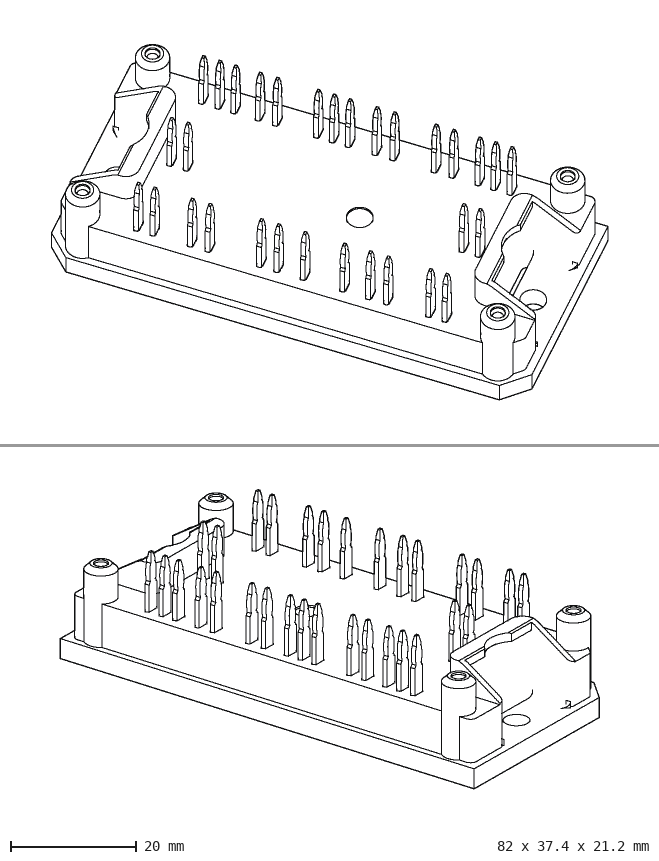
import cadquery as cq

plate_length = 82.0
plate_width = 37.4
plate_height = 3.5
plate_chamfer = 4.0

body_length = 79.3
end_x = -body_length / 2
body_width = 34.85
body_top = 11.15
body_chamfer = 3.3
body_corner_radius = 1.15

mount_x = 35.5
mount_hole_diameter = 4.3
bay_half_width = 8.85
bay_back_x = 30.4
bay_corner_radius = 1.1
floor_edge_x = 32.15
foot_radius = 1.1
foot_chamfer = 1.1
bay_mouth_radius = 0.9
wall_inner_x = 28.7
wall_half_width = 10.0
wall_corner_radius = 2.3
wall_top = 16.6
slope_end_x = 31.5
slope_kink_x = 32.4
slope_kink_z = 16.15
slope_bottom_z = 11.4
lip_x = 31.9
lip_bottom = 15.0
notch_radius = 5.1

post_x = 35.4
post_y = 15.3
post_diameter = 5.5
post_top = 17.05
post_chamfer = 1.0
bore_diameter = 2.4
bore_floor_diameter = 1.8
bore_straight_depth = 0.3
bore_taper_depth = 0.65

dimple_x = 5.9
dimple_diameter = 4.3
dimple_depth = 0.3

pin_top = 21.2
pin_thickness = 0.8
pin_stem_width = 2.05
pin_shoulder_z = 15.8
pin_waist_z = 16.3
pin_waist_width = 1.4
pin_belly_z = 17.9
pin_belly_width = 1.7
pin_blade_top_z = 19.0
pin_blade_top_width = 1.55
pin_neck_z = 19.5
pin_neck_width = 1.15
pin_taper_z = 20.0
pin_tip_width = 0.6
pin_tip_thickness = 0.4
pin_slot_length = 2.6
pin_slot_width = 1.0
pin_slot_depth = 0.3
outer_row_y = 14.3
middle_row_y = 0.3
pin_rows = {
    outer_row_y: [-26.3, -23.5, -20.8, -16.65, -13.7, -6.7, -4.0, -1.3,
                  3.3, 6.3, 13.4, 16.4, 20.8, 23.5, 26.3],
    middle_row_y: [-26.3, -23.5, 23.5, 26.3],
    -outer_row_y: [-26.3, -23.5, -17.1, -14.1, -5.3, -2.4,
                   2.1, 8.85, 13.3, 16.3, 23.5, 26.3],
}


def box(x0, x1, y0, y1, z0, z1):
    """Box between opposite corner coordinates."""
    return cq.Workplane("XY").box(x1 - x0, y1 - y0, z1 - z0, centered=False).translate((x0, y0, z0))


def cylinder(x, y, radius, z0, z1):
    """Vertical cylinder between two heights."""
    return cq.Workplane("XY", origin=(x, y, z0)).circle(radius).extrude(z1 - z0)


def make_plate():
    plate = cq.Workplane("XY").rect(plate_length, plate_width).extrude(plate_height)
    return plate.edges("|Z and <Y").chamfer(plate_chamfer)


def make_body():
    body = cq.Workplane("XY", origin=(0, 0, plate_height)).rect(body_length, body_width)
    body = body.extrude(body_top - plate_height)
    return body.edges("|Z and <Y").chamfer(body_chamfer).edges("|Z").fillet(body_corner_radius)


def make_wall():
    """Raised block of the -X end; its outer part slopes down to the housing end."""
    wall = box(end_x, -wall_inner_x, -wall_half_width, wall_half_width, plate_height, wall_top)
    wall = wall.edges("|Z and >X").fillet(wall_corner_radius)
    above_slope = (
        cq.Workplane("XZ")
        .polyline([
            (end_x, slope_bottom_z),
            (-slope_kink_x, slope_kink_z),
            (-slope_end_x, wall_top),
            (end_x, wall_top),
        ])
        .close()
        .extrude(wall_half_width, both=True)
    )
    return wall.cut(above_slope)


def make_bay_cut():
    """Bay of the -X end: undercut below the lip, with a slot through the plate behind the floor."""
    outer_x = -plate_length / 2
    pocket = box(outer_x, -bay_back_x, -bay_half_width, bay_half_width, 0, lip_bottom)
    pocket = pocket.edges("|Z and >X").fillet(bay_corner_radius)
    floor = box(outer_x, -floor_edge_x, -bay_half_width, bay_half_width, 0, plate_height)
    opening = box(outer_x, -lip_x, -bay_half_width, bay_half_width, lip_bottom, wall_top)
    notch = cylinder(-mount_x, 0, notch_radius, lip_bottom, wall_top)
    cut = pocket.cut(floor).union(opening).union(notch)
    round_x = end_x + bay_mouth_radius
    round_y = bay_half_width + bay_mouth_radius
    mouth = box(end_x, round_x, bay_half_width, round_y, plate_height, wall_top)
    mouth = mouth.cut(cylinder(round_x, round_y, bay_mouth_radius, plate_height, wall_top))
    return cut.union(mouth).union(mouth.mirror("XZ"))


def make_foot():
    """Concave foot along the +Y side of the -X bay floor."""
    foot = box(end_x, -floor_edge_x, bay_half_width - foot_radius, bay_half_width,
               plate_height, plate_height + foot_radius)
    hollow = (
        cq.Workplane("YZ", origin=(end_x, 0, 0))
        .center(bay_half_width - foot_radius, plate_height + foot_radius)
        .circle(foot_radius)
        .extrude(-floor_edge_x - end_x)
    )
    foot_corner = (
        cq.Workplane("XY", origin=(0, 0, plate_height))
        .polyline([
            (end_x, bay_half_width),
            (end_x, bay_half_width - foot_radius),
            (end_x + foot_chamfer, bay_half_width - foot_radius),
        ])
        .close()
        .extrude(foot_radius)
    )
    return foot.cut(hollow).cut(foot_corner)


def make_post(x, y):
    return cylinder(x, y, post_diameter / 2, plate_height, post_top).faces(">Z").chamfer(post_chamfer)


def make_post_bore(x, y):
    taper_top = post_top - bore_straight_depth
    bore = cylinder(x, y, bore_diameter / 2, taper_top, post_top)
    taper = cq.Workplane("XY", origin=(x, y, taper_top)).circle(bore_diameter / 2)
    taper = taper.workplane(offset=-bore_taper_depth).circle(bore_floor_diameter / 2).loft()
    return bore.union(taper)


def make_pin():
    """Flat pin on the Z axis with shouldered stem, barrel-shaped blade, narrow neck and tapered tip."""
    foot_z = body_top - pin_slot_depth
    half_blade = (
        cq.Workplane("YZ", origin=(-pin_thickness / 2, 0, 0))
        .moveTo(0, foot_z)
        .lineTo(pin_stem_width / 2, foot_z)
        .lineTo(pin_stem_width / 2, pin_shoulder_z)
        .lineTo(pin_waist_width / 2, pin_waist_z)
        .threePointArc((pin_belly_width / 2, pin_belly_z), (pin_blade_top_width / 2, pin_blade_top_z))
        .lineTo(pin_neck_width / 2, pin_neck_z)
        .lineTo(pin_neck_width / 2, pin_taper_z)
        .lineTo(pin_tip_width / 2, pin_top)
        .lineTo(0, pin_top)
        .close()
        .extrude(pin_thickness)
    )
    blade = half_blade.union(half_blade.mirror("XZ"))
    side_outline = (
        cq.Workplane("XZ")
        .moveTo(-pin_thickness / 2, foot_z)
        .lineTo(pin_thickness / 2, foot_z)
        .lineTo(pin_thickness / 2, pin_taper_z)
        .lineTo(pin_tip_thickness / 2, pin_top)
        .lineTo(-pin_tip_thickness / 2, pin_top)
        .lineTo(-pin_thickness / 2, pin_taper_z)
        .close()
        .extrude(pin_stem_width, both=True)
    )
    return blade.intersect(side_outline)


def make_pin_slot():
    """Shallow round-ended slot on the Z axis that a pin stands in."""
    slot = cq.Workplane("XY", origin=(0, 0, body_top - pin_slot_depth))
    return slot.slot2D(pin_slot_length, pin_slot_width, 90).extrude(pin_slot_depth)


wall = make_wall()
foot = make_foot()
bay_cut = make_bay_cut()
feet = foot.union(foot.mirror("XZ"))
part = make_plate().union(make_body()).union(wall).union(wall.mirror("YZ"))
part = part.cut(bay_cut).cut(bay_cut.mirror("YZ"))
part = part.union(feet).union(feet.mirror("YZ"))

for x in (-post_x, post_x):
    for y in (-post_y, post_y):
        part = part.union(make_post(x, y)).cut(make_post_bore(x, y))

for x in (-mount_x, mount_x):
    part = part.cut(cylinder(x, 0, mount_hole_diameter / 2, 0, plate_height))
part = part.cut(cylinder(dimple_x, 0, dimple_diameter / 2, body_top - dimple_depth, body_top))

pin = make_pin()
pin_slot = make_pin_slot()
for y, positions in pin_rows.items():
    for x in positions:
        part = part.cut(pin_slot.translate((x, y, 0))).union(pin.translate((x, y, 0)))

result = part